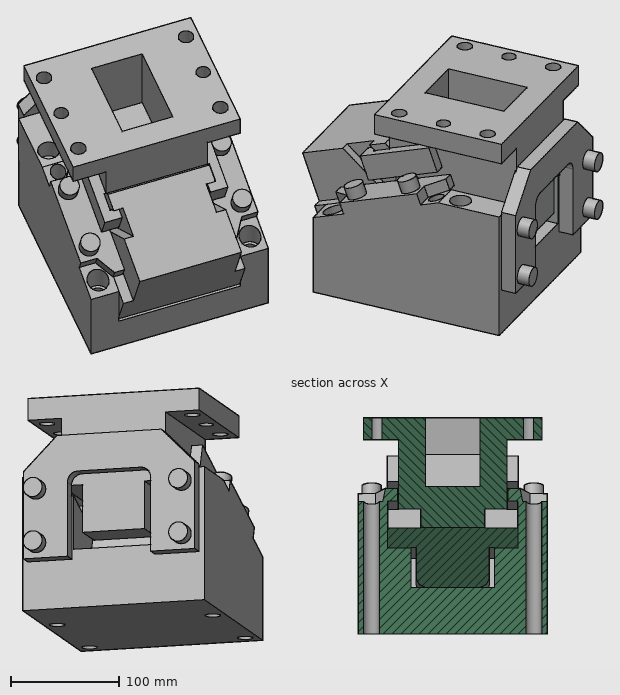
import cadquery as cq
import math

SLOPE = 20.0
CAM_ANGLE = 40.0
REACH = 245.7

HOUSING_LENGTH = 190.5
HOUSING_WIDTH = 175.0
HOUSING_TOP = 125.5
SLOPE_START = 62.2
WELL_FLOOR = 55.0
WELL_HALF_WIDTH = 38.3

HOLE_Y = 75.0
HOLE_RADIUS = 7.1
COUNTERBORE_RADIUS = 10.0
COUNTERBORE_DEPTH = 20.0
BLIND_HOLE_X = 45.5
THROUGH_HOLE_X = 70.3
COUNTERBORED_HOLE_X = 175.2

KEEPER_INNER_Y = 50.5
KEEPER_START = 1.5
KEEPER_END = 121.5
KEEPER_THICKNESS = 11.5
KEEPER_TIP_LENGTH = 18.0
KEEPER_TIP_Y = 60.5
KEEPER_SHOULDER_Y = 71.5
KEEPER_BOLT_SPACING = 58.2
BOLT_RADIUS = 9.0
BOLT_HEIGHT = 12.0

PLATE_THICKNESS = 14.5
PLATE_BOTTOM = 45.7
PLATE_TOP = 160.2
PLATE_CORNER = 32.2
ARCH_HALF_WIDTH = 40.0
ARCH_RADIUS = 10.0
RELIEF_DEPTH = 1.0
RELIEF_HALF_WIDTH = 53.0
PLATE_BOLT_Y = 70.0
PLATE_BOLT_HEIGHTS = (60.0, 110.3)

DRIVER_TOP = 200.0
HEAD_LENGTH = 130.0
HEAD_WIDTH = 165.0
HEAD_THICKNESS = 20.6
NECK_HALF_WIDTH = 50.1
NECK_BOTTOM = 115.5
TONGUE_HALF_WIDTH = 29.7
TONGUE_BOTTOM = 70.5
HEAD_HOLE_X = 65.4
HEAD_HOLE_SPACING = 45.2
HEAD_HOLE_Y = 70.0
HEAD_HOLE_RADIUS = 7.1
HEAD_MIDDLE_HOLE_RADIUS = 6.6
POCKET_START = 25.0
POCKET_END = 105.7
POCKET_WIDTH = 50.0
POCKET_RAMP_TOP = 166.0
POCKET_RAMP_FOOT = SLOPE_START

ARM_START = 7.9
ARM_END = 82.8
ARM_BOTTOM = 19.5
ARM_TOP = 44.5
ARM_INNER_Y = 51.8
ARM_OUTER_Y = 60.7
HOOK_INNER_Y = 43.5

SLIDER_TOP = 50.0
SLIDER_WING_HALF_WIDTH = 60.0
WING_BOTTOM = -40.3
WING_START = 66.0
CAM_TOP_X = 134.7
KEEL_HALF_WIDTH = 34.0
KEEL_TOP_Z = 81.0
KEEL_BOTTOM = -74.5
KEEL_FILLET = 9.3
NOSE_X = 219.2
NOTCH_REAR_X = 150.6
NOTCH_FRONT_X = 178.0
NOTCH_INNER_Y = 41.0
WELL_FRONT_X = 97.0

SIN = math.sin(math.radians(SLOPE))
COS = math.cos(math.radians(SLOPE))
RISE = math.tan(math.radians(CAM_ANGLE))
FALL = math.tan(math.radians(SLOPE))
HALF_WIDTH = HOUSING_WIDTH / 2


def slope_z(x, height=0.0):
    """Z at a given X on the plane lying `height` above the sloping top."""
    return HOUSING_TOP - (x - SLOPE_START) * FALL + height / COS


def square_to_slope(x, z, height):
    """From the point (x, z), move square to the slope to the given height above it."""
    move = height - (z - slope_z(x)) * COS
    return (x + move * SIN, z + move * COS)


def ramp_crossing(ramp_top, height):
    """Where the cam-angled line through ramp_top crosses the plane `height` above the slope."""
    top_x, top_z = ramp_top
    x = top_x - (top_z - slope_z(top_x, height)) / (RISE + FALL)
    return (x, slope_z(x, height))


def at_station(station, height):
    """(x, z) of a point given by its distance along the slope and its height above it."""
    return (SLOPE_START + station * COS + height * SIN, HOUSING_TOP - station * SIN + height * COS)


def side_profile(points, half_width):
    """Extrude an XZ outline equally to both sides of the mid-plane."""
    return cq.Workplane("XZ").polyline(points).close().extrude(half_width, both=True)


def side_slab(points, inner_y, outer_y):
    """Extrude an XZ outline from inner_y to outer_y on the +Y side."""
    return cq.Workplane("XZ", origin=(0, inner_y, 0)).polyline(points).close().extrude(inner_y - outer_y)


def with_mirror(shape):
    """Yield a shape on the +Y side and its mirror image on the -Y side."""
    yield shape
    yield shape.mirror("XZ")


def box(x_range, half_width, z_range):
    """Box spanning the X and Z ranges, centred on the mid-plane."""
    rear, front = x_range
    low, high = z_range
    return side_profile([(rear, low), (front, low), (front, high), (rear, high)], half_width)


CAM_TOP = (CAM_TOP_X, slope_z(CAM_TOP_X, SLIDER_TOP))
NOTCH_REAR = (NOTCH_REAR_X, slope_z(NOTCH_REAR_X, SLIDER_TOP))
NOTCH_FRONT = (NOTCH_FRONT_X, slope_z(NOTCH_FRONT_X, SLIDER_TOP))


def cam_z(x):
    return CAM_TOP[1] - (CAM_TOP[0] - x) * RISE


def cam_x(z):
    return CAM_TOP[0] - (CAM_TOP[1] - z) / RISE


KEEL_REAR_TOP = (cam_x(KEEL_TOP_Z), KEEL_TOP_Z)
KEEL_REAR_BOTTOM = square_to_slope(*KEEL_REAR_TOP, KEEL_BOTTOM)
WELL_FRONT_TOP = (WELL_FRONT_X, slope_z(WELL_FRONT_X, WING_BOTTOM))
WELL_FRONT_BOTTOM = square_to_slope(*WELL_FRONT_TOP, KEEL_BOTTOM)


def housing_block():
    return side_profile(
        [
            (0, 0),
            (HOUSING_LENGTH, 0),
            (HOUSING_LENGTH, slope_z(HOUSING_LENGTH)),
            (SLOPE_START, HOUSING_TOP),
            (0, HOUSING_TOP),
        ],
        HALF_WIDTH,
    )


def driver_well():
    """Cavity open to the rear, with a sloping trough at its foot for the slider's keel."""
    floor_end_x = SLOPE_START + (HOUSING_TOP - WELL_FLOOR + KEEL_BOTTOM / COS) / FALL
    return side_profile(
        [
            (0, WELL_FLOOR),
            (floor_end_x, WELL_FLOOR),
            WELL_FRONT_BOTTOM,
            WELL_FRONT_TOP,
            (WELL_FRONT_X, REACH),
            (0, REACH),
        ],
        WELL_HALF_WIDTH,
    )


def slider_channel():
    """Full-length channel, open at the top, whose sloping floor carries the slider's wings."""
    return side_profile(
        [
            (0, slope_z(0, WING_BOTTOM)),
            (REACH, slope_z(REACH, WING_BOTTOM)),
            (REACH, REACH),
            (0, REACH),
        ],
        SLIDER_WING_HALF_WIDTH,
    )


def upright_hole(x, radius, bottom):
    """Pair of vertical cutters at x, from the given height upwards."""
    return (
        cq.Workplane("XY", origin=(0, 0, bottom))
        .pushPoints([(x, HOLE_Y), (x, -HOLE_Y)])
        .circle(radius)
        .extrude(REACH)
    )


def keeper():
    """Flared strip with its two bolt heads, on the +Y side."""
    outline = [
        (KEEPER_START, KEEPER_INNER_Y),
        (KEEPER_START, KEEPER_TIP_Y),
        (KEEPER_START + KEEPER_TIP_LENGTH, KEEPER_SHOULDER_Y),
        (KEEPER_START + KEEPER_TIP_LENGTH, HALF_WIDTH),
        (KEEPER_END - KEEPER_TIP_LENGTH, HALF_WIDTH),
        (KEEPER_END - KEEPER_TIP_LENGTH, KEEPER_SHOULDER_Y),
        (KEEPER_END, KEEPER_TIP_Y),
        (KEEPER_END, KEEPER_INNER_Y),
    ]
    middle = (KEEPER_START + KEEPER_END) / 2
    bolt_centres = [(middle + side * KEEPER_BOLT_SPACING / 2, HOLE_Y) for side in (-1, 1)]
    top_of_slope = cq.Plane(origin=(SLOPE_START, 0, HOUSING_TOP), xDir=(COS, 0, -SIN), normal=(SIN, 0, COS))
    strip = cq.Workplane(top_of_slope).polyline(outline).close().extrude(KEEPER_THICKNESS)
    bolts = cq.Workplane(top_of_slope).pushPoints(bolt_centres).circle(BOLT_RADIUS)
    return strip.union(bolts.extrude(KEEPER_THICKNESS + BOLT_HEIGHT))


def rear_plate():
    """Arched plate closing the rear of the well, with four bolt heads."""
    half_width = HEAD_WIDTH / 2
    outline = [
        (-half_width, PLATE_BOTTOM),
        (half_width, PLATE_BOTTOM),
        (half_width, PLATE_TOP - PLATE_CORNER),
        (half_width - PLATE_CORNER, PLATE_TOP),
        (PLATE_CORNER - half_width, PLATE_TOP),
        (-half_width, PLATE_TOP - PLATE_CORNER),
    ]
    arch = box((-PLATE_THICKNESS, 0), ARCH_HALF_WIDTH, (0, HOUSING_TOP))
    arch = arch.edges("|X and >Z").fillet(ARCH_RADIUS)
    relief = box((-RELIEF_DEPTH, 0), RELIEF_HALF_WIDTH, (slope_z(0, WING_BOTTOM), REACH))
    bolt_centres = [(side * PLATE_BOLT_Y, z) for side in (-1, 1) for z in PLATE_BOLT_HEIGHTS]
    bolts = (
        cq.Workplane("YZ", origin=(-PLATE_THICKNESS, 0, 0))
        .pushPoints(bolt_centres)
        .circle(BOLT_RADIUS)
        .extrude(-BOLT_HEIGHT)
    )
    plate = cq.Workplane("YZ").polyline(outline).close().extrude(-PLATE_THICKNESS)
    return plate.cut(arch).cut(relief).union(bolts)


def make_housing():
    housing = housing_block().cut(driver_well()).cut(slider_channel())
    counterbore_floor = slope_z(COUNTERBORED_HOLE_X) - COUNTERBORE_DEPTH
    housing = housing.cut(upright_hole(BLIND_HOLE_X, COUNTERBORE_RADIUS, HOUSING_TOP - COUNTERBORE_DEPTH))
    housing = housing.cut(upright_hole(THROUGH_HOLE_X, HOLE_RADIUS, 0))
    housing = housing.cut(upright_hole(COUNTERBORED_HOLE_X, HOLE_RADIUS, 0))
    housing = housing.cut(upright_hole(COUNTERBORED_HOLE_X, COUNTERBORE_RADIUS, counterbore_floor))
    for strip in with_mirror(keeper()):
        housing = housing.union(strip)
    return housing.union(rear_plate())


def driver_column(half_width, bottom):
    """Upright column whose underside is flat, then rises along the cam face."""
    return side_profile(
        [
            (0, bottom),
            (cam_x(bottom), bottom),
            (HEAD_LENGTH, cam_z(HEAD_LENGTH)),
            (HEAD_LENGTH, DRIVER_TOP),
            (0, DRIVER_TOP),
        ],
        half_width,
    )


def head_pocket():
    """Rectangular pocket from the top, with a flat floor and a ramp parallel to the cam face."""
    floor = POCKET_RAMP_TOP - (POCKET_END - POCKET_RAMP_FOOT) * RISE
    return side_profile(
        [
            (POCKET_START, floor),
            (POCKET_RAMP_FOOT, floor),
            (POCKET_END, POCKET_RAMP_TOP),
            (POCKET_END, DRIVER_TOP),
            (POCKET_START, DRIVER_TOP),
        ],
        POCKET_WIDTH / 2,
    )


def head_holes():
    holes = cq.Workplane("XY")
    for column in (-1, 0, 1):
        radius = HEAD_HOLE_RADIUS if column else HEAD_MIDDLE_HOLE_RADIUS
        x = HEAD_HOLE_X + column * HEAD_HOLE_SPACING
        for y in (-HEAD_HOLE_Y, HEAD_HOLE_Y):
            base = (x, y, DRIVER_TOP - HEAD_THICKNESS)
            holes = holes.add(cq.Workplane("XY", origin=base).circle(radius).extrude(HEAD_THICKNESS))
    return holes.combine()


def return_arm():
    """Arm on the +Y side whose hook sits against the rear face of the slider's notch."""
    arm_outline = [
        at_station(ARM_START, ARM_BOTTOM),
        at_station(ARM_END, ARM_BOTTOM),
        at_station(ARM_END, ARM_TOP),
        at_station(ARM_START, ARM_TOP),
    ]
    hook_outline = [
        ramp_crossing(NOTCH_REAR, ARM_BOTTOM),
        at_station(ARM_END, ARM_BOTTOM),
        at_station(ARM_END, ARM_TOP),
        ramp_crossing(NOTCH_REAR, ARM_TOP),
    ]
    arm = side_slab(arm_outline, ARM_INNER_Y, ARM_OUTER_Y)
    hook = side_slab(hook_outline, HOOK_INNER_Y, ARM_INNER_Y)
    pad = side_slab(arm_outline, NECK_HALF_WIDTH, ARM_INNER_Y)
    pad = pad.intersect(driver_column(ARM_INNER_Y, NECK_BOTTOM))
    return arm.union(hook).union(pad)


def make_driver():
    head = box((0, HEAD_LENGTH), HEAD_WIDTH / 2, (DRIVER_TOP - HEAD_THICKNESS, DRIVER_TOP))
    driver = head.union(driver_column(NECK_HALF_WIDTH, NECK_BOTTOM))
    driver = driver.union(driver_column(TONGUE_HALF_WIDTH, TONGUE_BOTTOM))
    for arm in with_mirror(return_arm()):
        driver = driver.union(arm)
    return driver.cut(head_pocket()).cut(head_holes())


def slider_layer(low, high, half_width, rear_points):
    """Layer between two heights above the slope, from its rear points to the nose plane."""
    nose_top = (NOSE_X, slope_z(NOSE_X, SLIDER_TOP))
    front_points = [square_to_slope(*nose_top, low), square_to_slope(*nose_top, high)]
    return side_profile(rear_points + front_points, half_width)


def slider_keel():
    """Narrow keel under the slider, rounded along its two bottom edges."""
    keel = side_profile(
        [
            KEEL_REAR_TOP,
            KEEL_REAR_BOTTOM,
            WELL_FRONT_BOTTOM,
            WELL_FRONT_TOP,
            (WELL_FRONT_X, cam_z(WELL_FRONT_X)),
        ],
        KEEL_HALF_WIDTH,
    )
    downward = cq.Vector(-SIN, 0, -COS)
    along_slope = cq.Vector(COS, 0, -SIN)
    bottom = keel.faces(cq.selectors.DirectionMinMaxSelector(downward))
    return bottom.edges(cq.selectors.ParallelDirSelector(along_slope)).fillet(KEEL_FILLET)


def notch():
    """Cam-angled notch in the +Y side for the driver's hook, upright at its lower rear."""
    knee = ramp_crossing(NOTCH_REAR, ARM_BOTTOM)
    outline = [
        NOTCH_REAR,
        knee,
        (knee[0], slope_z(knee[0])),
        ramp_crossing(NOTCH_FRONT, 0),
        NOTCH_FRONT,
    ]
    return side_slab(outline, NOTCH_INNER_Y, NECK_HALF_WIDTH)


def make_slider():
    body = slider_layer(0, SLIDER_TOP, NECK_HALF_WIDTH, [CAM_TOP, ramp_crossing(CAM_TOP, 0)])
    wing_rear = [
        ramp_crossing(CAM_TOP, 0),
        (WING_START, cam_z(WING_START)),
        (WING_START, slope_z(WING_START, WING_BOTTOM)),
    ]
    wings = slider_layer(WING_BOTTOM, 0, SLIDER_WING_HALF_WIDTH, wing_rear)
    slider = body.union(wings).union(slider_keel())
    for side_notch in with_mirror(notch()):
        slider = slider.cut(side_notch)
    return slider


housing = make_housing()
driver = make_driver()
slider = make_slider()

result = cq.Compound.makeCompound([housing.solids().val(), driver.solids().val(), slider.solids().val()])